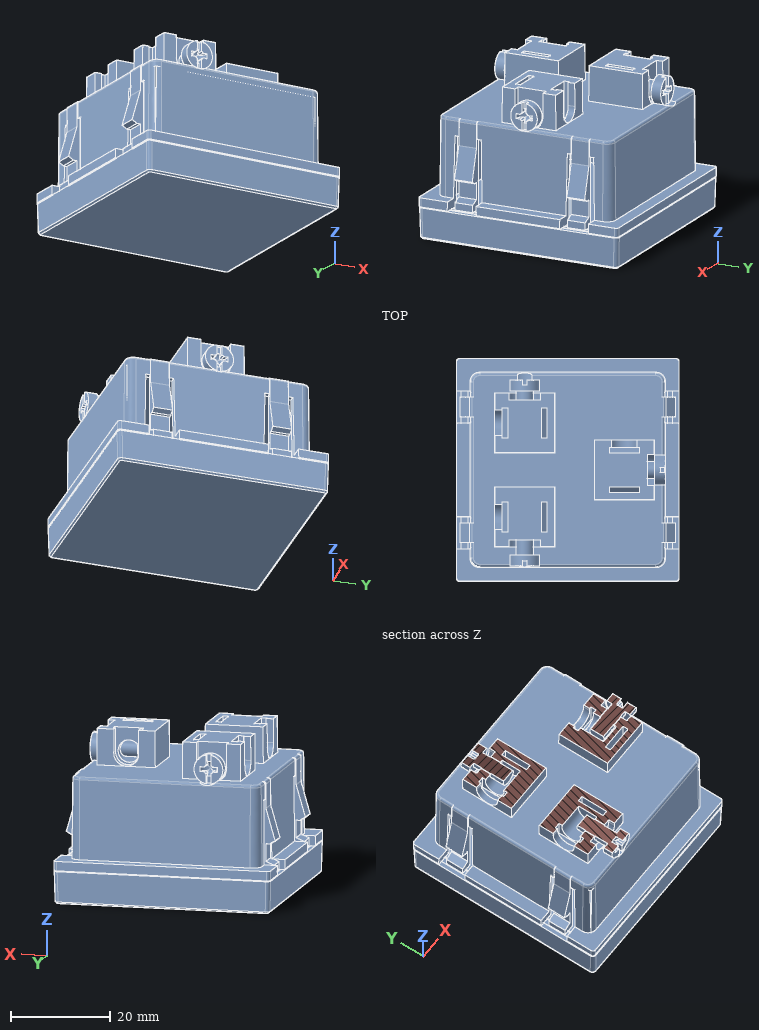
import cadquery as cq

side = 45.0
cap_top = 6.65
flange_top = 8.78
roof_top = 25.7
terminal_top = 33.2

cap_draft = 1.4
cap_corner_radius = 0.8
cap_bottom_chamfer = 0.4
groove_outer_side = 42.65
groove_inner_side = 40.3
groove_x = -0.2
groove_depth = 0.45

flange_corner_radius = 0.65
flange_chamfer = 0.2
shell_side = 39.45
shell_corner_radius = 2.0
shell_draft = 0.6
roof_fillet = 0.5
cavity_left = -19.0
cavity_right = 18.4
cavity_front = -19.3
cavity_back = 18.5
cavity_top = 24.08

arm_offset = 12.7
arm_width = 4.0
arm_outer = 19.8
arm_inner = 19.0
arm_bottom = 6.98
window_top = 22.0
window_top_width = 5.95
window_bottom_width = 6.52
window_inner = 18.0
barb_tip = 21.75
barb_top = 20.15
barb_tip_height = 13.5
barb_bottom = 12.85
barb_undercut = 1.12
foot_outer = 21.5
foot_outer_height = 8.55
foot_inner_height = 9.25

block_width = 12.15
block_draft = 0.5
block_half = block_width / 2
screw_axis_height = 28.3
left_block_x = -8.7
left_block_y = 9.5
right_block_x = 11.45
channel_width = 5.15
wire_hole_diameter = 4.6
plate_slot_width = 6.05
plate_slot_inner = 3.4
plate_slot_outer = 4.55
ramp_top = 25.55
pocket_width = 6.3
pocket_depth = 1.45

shank_diameter = 3.5
shank_length = 7.42
head_diameter = 6.0
head_length = 2.15
drive_slot_width = 1.0
drive_slot_depth = 1.0
drive_recess_diameter = 3.6
drive_centre_diameter = 2.0

terminals = [
    (left_block_x, left_block_y, False, 0, 6.5),
    (left_block_x, -left_block_y, True, 0, 7.7),
    (right_block_x, 0, False, -90, 6.1),
]


def place(shape, terminal):
    """Move a shape from a block's own frame (wire entry at -X, screw at +Y) to its place."""
    x, y, mirrored, turn, _ = terminal
    if mirrored:
        shape = shape.mirror("XZ")
    return shape.rotate((0, 0, 0), (0, 0, 1), turn).translate((x, y, 0))


def cylinder_along_y(diameter, y_start, y_end, z):
    plane = cq.Workplane("XZ", origin=(0, y_start, z))
    return plane.circle(diameter / 2).extrude(y_start - y_end)


def make_cap():
    cap = (
        cq.Workplane("XY", origin=(0, 0, cap_top))
        .rect(side, side)
        .extrude(-cap_top, taper=cap_draft)
        .edges("not(|X or |Y)")
        .fillet(cap_corner_radius)
        .faces("<Z")
        .chamfer(cap_bottom_chamfer)
    )
    groove = (
        cq.Workplane("XY", origin=(groove_x, 0, cap_top))
        .rect(groove_outer_side, groove_outer_side)
        .center(-groove_x, 0)
        .rect(groove_inner_side, groove_inner_side)
        .extrude(-groove_depth)
    )
    return cap.cut(groove)


def make_shell():
    flange = (
        cq.Workplane("XY", origin=(0, 0, cap_top))
        .rect(side, side)
        .extrude(flange_top - cap_top)
        .edges("|Z")
        .fillet(flange_corner_radius)
        .faces("<Z")
        .chamfer(flange_chamfer)
    )
    outline = cq.Sketch().rect(shell_side, shell_side).vertices().fillet(shell_corner_radius)
    box = (
        cq.Workplane("XY", origin=(0, 0, flange_top))
        .placeSketch(outline)
        .extrude(roof_top - flange_top, taper=shell_draft)
        .faces(">Z")
        .fillet(roof_fillet)
    )
    cavity = (
        cq.Workplane("XY", origin=(cavity_left, cavity_front, cap_top))
        .box(cavity_right - cavity_left, cavity_back - cavity_front, cavity_top - cap_top, centered=False)
    )
    return flange.union(box).cut(cavity)


def make_arm_window():
    """Tapered opening through the right wall and flange, centred on Y = 0."""
    return (
        cq.Workplane("YZ", origin=(window_inner, 0, 0))
        .polyline([
            (-window_bottom_width / 2, cap_top),
            (window_bottom_width / 2, cap_top),
            (window_top_width / 2, window_top),
            (-window_top_width / 2, window_top),
        ])
        .close()
        .extrude(side / 2 - window_inner)
    )


def make_arm():
    """Snap arm of the right wall with its barb and foot, centred on Y = 0."""
    return (
        cq.Workplane("XZ")
        .moveTo(arm_inner, arm_bottom)
        .lineTo(foot_outer, arm_bottom)
        .lineTo(foot_outer, foot_outer_height)
        .lineTo(arm_outer, foot_inner_height)
        .lineTo(arm_outer, barb_bottom)
        .lineTo(barb_tip - barb_undercut, barb_bottom)
        .lineTo(barb_tip, barb_tip_height)
        .lineTo(arm_outer, barb_top)
        .lineTo(arm_outer, roof_top - roof_fillet)
        .radiusArc((arm_outer - roof_fillet, roof_top), -roof_fillet)
        .lineTo(arm_inner, roof_top)
        .close()
        .extrude(arm_width / 2, both=True)
    )


def make_block():
    return (
        cq.Workplane("XY", origin=(0, 0, roof_top))
        .rect(block_width, block_width)
        .extrude(terminal_top - roof_top, taper=block_draft)
    )


def round_bottom_channel(width, depth):
    """Channel sunk into the +Y face of a block, open at the top and round at the bottom."""
    start = block_half - depth
    upper = (
        cq.Workplane("XY", origin=(0, start, screw_axis_height))
        .box(width, depth, terminal_top - screw_axis_height, centered=(True, False, False))
    )
    lower = cylinder_along_y(width, start, block_half, screw_axis_height)
    return upper.union(lower)


def make_plate_slot():
    """Narrow slot near the -X face whose floor ramps down outward at 45 degrees."""
    ramp_bottom = ramp_top - (plate_slot_outer - plate_slot_inner)
    return (
        cq.Workplane("XZ")
        .polyline([
            (-plate_slot_inner, terminal_top),
            (-plate_slot_inner, ramp_top),
            (-plate_slot_outer, ramp_bottom),
            (-plate_slot_outer, terminal_top),
        ])
        .close()
        .extrude(plate_slot_width / 2, both=True)
    )


def make_terminal_cuts():
    """Everything removed from one block and from the roof beside it, in the block's own frame."""
    wire_channel = round_bottom_channel(channel_width, block_half - plate_slot_outer)
    wire_hole = cylinder_along_y(
        wire_hole_diameter, -wire_hole_diameter / 2, plate_slot_inner, screw_axis_height
    )
    wire_entry = wire_channel.union(wire_hole).rotate((0, 0, 0), (0, 0, 1), 90)
    screw_hole = cylinder_along_y(shank_diameter, 0, block_half, screw_axis_height)
    head_relief = cylinder_along_y(head_diameter, block_half, side / 2, screw_axis_height)
    slot = make_plate_slot()
    return [
        wire_entry,
        slot,
        slot.mirror("YZ"),
        round_bottom_channel(pocket_width, pocket_depth),
        screw_hole,
        head_relief,
    ]


def make_housing():
    housing = make_shell()
    for turn in (0, 180):
        for y in (-arm_offset, arm_offset):
            window = make_arm_window().translate((0, y, 0)).rotate((0, 0, 0), (0, 0, 1), turn)
            arm = make_arm().translate((0, y, 0)).rotate((0, 0, 0), (0, 0, 1), turn)
            housing = housing.cut(window).union(arm)
    for terminal in terminals:
        housing = housing.union(place(make_block(), terminal))
        for cutter in make_terminal_cuts():
            housing = housing.cut(place(cutter, terminal))
    return housing


def make_cross_recess():
    """Cross-shaped driver recess with a hollowed floor, opening at the origin toward +Y."""
    disc = cq.Workplane("XY").cylinder(drive_recess_diameter, drive_recess_diameter / 2)
    bowl = disc.intersect(disc.rotate((0, 0, 0), (0, 1, 0), 90))
    bar = cq.Workplane("XY").box(drive_recess_diameter, drive_recess_diameter, drive_slot_width)
    cross = (
        bar.union(bar.rotate((0, 0, 0), (0, 1, 0), 90))
        .union(cylinder_along_y(drive_centre_diameter, -drive_recess_diameter / 2, 0, 0))
    )
    return bowl.intersect(cross)


def make_screw():
    """Screw pointing along -Y with the underside of its head at Y = 0."""
    shank = cylinder_along_y(shank_diameter, -shank_length, 0, screw_axis_height)
    head = cylinder_along_y(head_diameter, 0, head_length, screw_axis_height)
    head_centre = (0, head_length, screw_axis_height)
    drive_slot = cq.Workplane("XY").box(drive_slot_width, 2 * drive_slot_depth, head_diameter)
    screw = shank.union(head)
    for cutter in (drive_slot, make_cross_recess()):
        screw = screw.cut(cutter.translate(head_centre))
    return screw


cap = make_cap()
housing = make_housing()
screws = []
for terminal in terminals:
    head_distance = terminal[-1]
    screws.append(place(make_screw().translate((0, head_distance, 0)), terminal))

result = cq.Compound.makeCompound([cap.val(), housing.val(), *[screw.val() for screw in screws]])